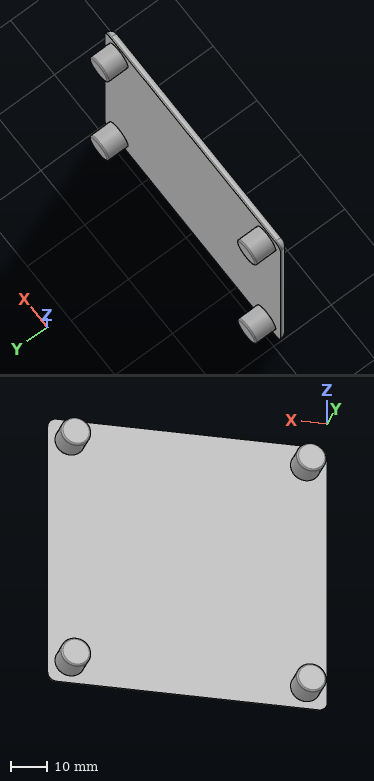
import cadquery as cq

side = 80.0
total_depth = 9.5
plate_thickness = 2.5
corner_radius = 2.5
front_fillet = 2.0

post_diameter = 8.5
post_inset = 6.3
post_fillet = 0.5
post_length = total_depth - plate_thickness
post_spacing = side - 2 * post_inset


def make_plate():
    plate = cq.Workplane("XY").box(side, plate_thickness, side, centered=(True, False, True))
    plate = plate.edges("|Y").fillet(corner_radius)
    return plate.faces("<Y").edges().fillet(front_fillet)


def make_posts():
    posts = (
        cq.Workplane("XZ", origin=(0, plate_thickness, 0))
        .rarray(post_spacing, post_spacing, 2, 2)
        .circle(post_diameter / 2)
        .extrude(-post_length)
    )
    return posts.faces(">Y").edges().fillet(post_fillet)


result = make_plate().union(make_posts())